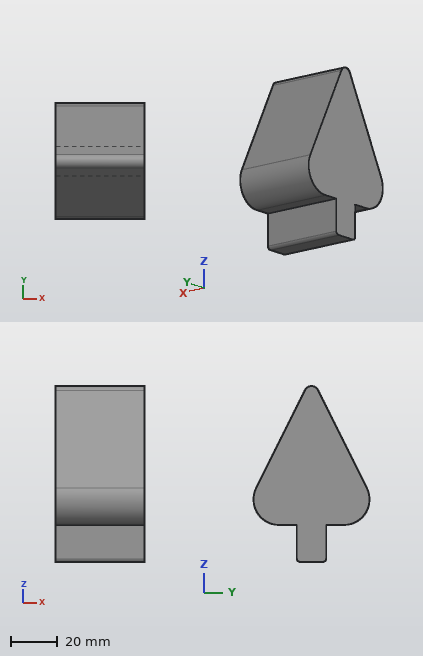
import cadquery as cq
import math

length = 38.1
width = 49.7
height = 75.3

tip_radius = 3.2
lobe_radius = 11.0
stem_width = 12.65
stem_height = 15.8
stem_corner_radius = 1.5

tip_z = height - tip_radius
lobe_y = width / 2 - lobe_radius
lobe_z = stem_height + lobe_radius

drop = tip_z - lobe_z
center_distance = math.hypot(lobe_y, drop)
normal_angle = math.asin((lobe_radius - tip_radius) / center_distance) + math.atan2(lobe_y, drop)


def arc_point(center_y, center_z, radius, angle):
    """Point on an arc, with the angle in radians from +Y towards +Z."""
    return (center_y + radius * math.cos(angle), center_z + radius * math.sin(angle))


def mirrored(point):
    """Matching point on the -Y side."""
    return (-point[0], point[1])


def make_head():
    """Pointed head with a rounded tip and two rounded lobes."""
    tip_end = arc_point(0, tip_z, tip_radius, normal_angle)
    lobe_start = arc_point(lobe_y, lobe_z, lobe_radius, normal_angle)
    lobe_middle = arc_point(lobe_y, lobe_z, lobe_radius, (normal_angle - math.pi / 2) / 2)
    lobe_end = (lobe_y, stem_height)
    return (
        cq.Workplane("YZ", origin=(-length / 2, 0, 0))
        .moveTo(*mirrored(tip_end))
        .threePointArc((0, height), tip_end)
        .lineTo(*lobe_start)
        .threePointArc(lobe_middle, lobe_end)
        .lineTo(*mirrored(lobe_end))
        .threePointArc(mirrored(lobe_middle), mirrored(lobe_start))
        .close()
        .extrude(length)
    )


def make_stem():
    """Rectangular stem below the head, with rounded lower long edges."""
    return (
        cq.Workplane("XY")
        .box(length, stem_width, stem_height, centered=(True, True, False))
        .edges("|X and <Z")
        .fillet(stem_corner_radius)
    )


result = make_head().union(make_stem())